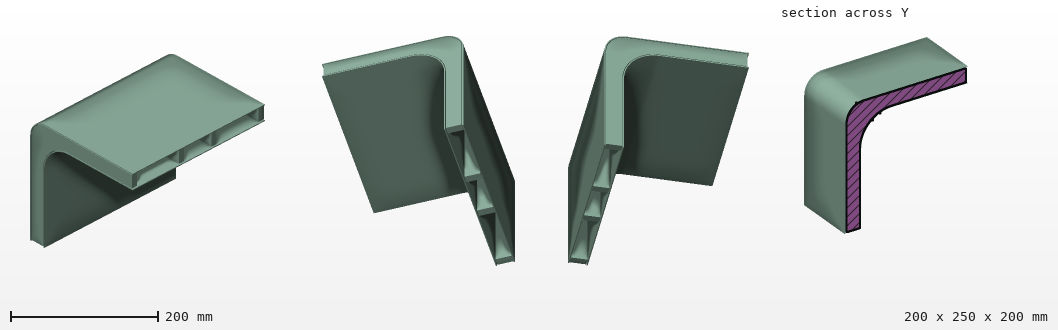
import cadquery as cq
import math

LEG = 200.0
WIDTH = 250.0
PANEL_DEPTH = 27.0

SKIN = 1.5
OUTER_RADIUS = 30.0
INNER_RADIUS = 48.5

GAP = 0.8
RIB_THICKNESS = 10.0
RIB_END_SETBACK = 2.0
MIDDLE_RIB_START = 89.2
RIB_STARTS = [
    0.0,
    MIDDLE_RIB_START,
    WIDTH - MIDDLE_RIB_START - RIB_THICKNESS,
    WIDTH - RIB_THICKNESS,
]


def add_bend(path, offset, radius, from_bottom):
    """Add a rounded bend whose legs lie `offset` inside the outer faces."""
    tangent = offset + radius
    middle = tangent - radius * math.sqrt(0.5)
    side_point = (offset, LEG - tangent)
    middle_point = (middle, LEG - middle)
    top_point = (tangent, LEG - offset)
    if from_bottom:
        return path.lineTo(*side_point).threePointArc(middle_point, top_point)
    return path.lineTo(*top_point).threePointArc(middle_point, side_point)


def bent_plate(near, near_radius, far, far_radius, setback, start, length):
    """Extrude along +Y the L-shaped strip between two bends, ends cut back by `setback`."""
    tip = LEG - setback
    path = cq.Workplane("XZ", origin=(0, start, 0)).moveTo(near, setback)
    path = add_bend(path, near, near_radius, from_bottom=True)
    path = path.lineTo(tip, LEG - near).lineTo(tip, LEG - far)
    path = add_bend(path, far, far_radius, from_bottom=False)
    return path.lineTo(far, setback).close().extrude(-length)


def make_outer_skin():
    return bent_plate(0, OUTER_RADIUS, SKIN, OUTER_RADIUS - SKIN, 0, 0, WIDTH)


def make_inner_skin():
    return bent_plate(
        PANEL_DEPTH - SKIN, INNER_RADIUS + SKIN, PANEL_DEPTH, INNER_RADIUS, 0, 0, WIDTH
    )


def make_rib(start):
    return bent_plate(
        SKIN + GAP,
        OUTER_RADIUS - SKIN - GAP,
        PANEL_DEPTH - SKIN - GAP,
        INNER_RADIUS + SKIN + GAP,
        RIB_END_SETBACK,
        start,
        RIB_THICKNESS,
    )


outer_skin = make_outer_skin()
inner_skin = make_inner_skin()
ribs = [make_rib(start) for start in RIB_STARTS]

result = cq.Compound.makeCompound(
    [outer_skin.val(), inner_skin.val(), *[rib.val() for rib in ribs]]
)